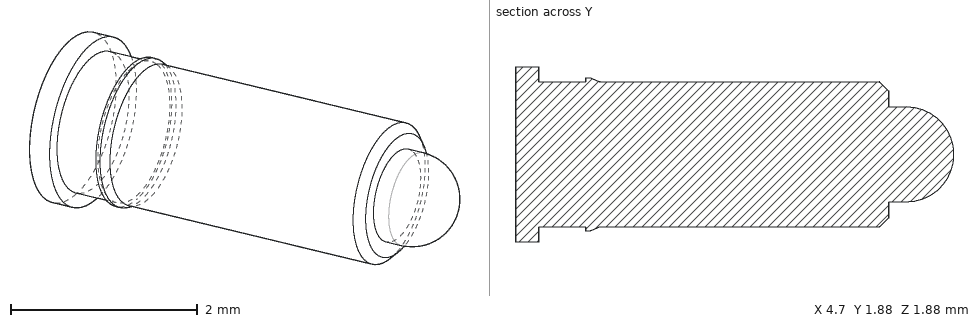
import cadquery as cq

total_length = 4.7
flange_radius = 0.94
flange_thickness = 0.25
barrel_radius = 0.78
barrel_end = 4.0
barrel_chamfer = 0.1
ring_radius = 0.822
ring_start = 0.75
ring_flat_width = 0.05
ring_width = 0.15
plunger_radius = 0.51

ring_flat_end = ring_start + ring_flat_width
ring_end = ring_start + ring_width
dome_start = total_length - plunger_radius


def turned_section(start, end, radius):
    """Cylinder along X between two stations."""
    return cq.Workplane("YZ", origin=(start, 0, 0)).circle(radius).extrude(end - start)


flange = turned_section(0, flange_thickness, flange_radius)
barrel = turned_section(0, barrel_end, barrel_radius).faces(">X").chamfer(barrel_chamfer)

ring = (
    cq.Workplane("XY")
    .moveTo(ring_start, 0)
    .lineTo(ring_start, ring_radius)
    .lineTo(ring_flat_end, ring_radius)
    .lineTo(ring_end, barrel_radius)
    .lineTo(ring_end, 0)
    .close()
    .revolve(360, (0, 0, 0), (1, 0, 0))
)

plunger = turned_section(0, dome_start, plunger_radius)
tip = cq.Workplane("XY", origin=(dome_start, 0, 0)).sphere(plunger_radius)

result = flange.union(barrel).union(ring).union(plunger).union(tip)